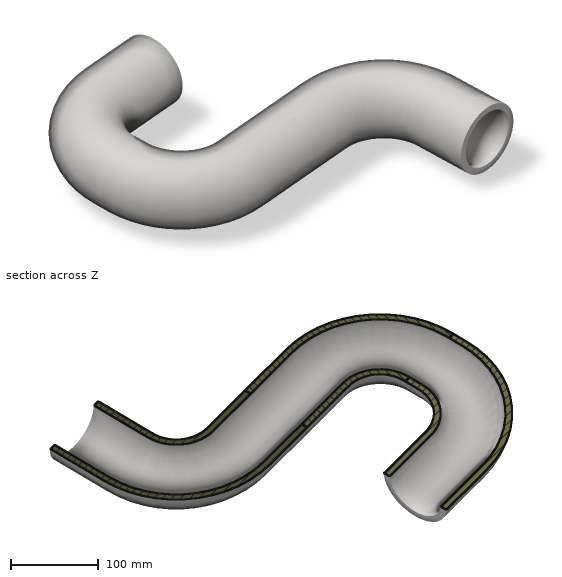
import cadquery as cq
import math

outer_diameter = 90.0
bore_diameter = 73.5
bend_radius = outer_diameter

full_arm = 77.5
trimmed_outlet_arm = 69.2
trap_bottom = 20.5
stub_arm = 1.3

free_end_lift = 2.5
arm_spacing = 2 * bend_radius + trap_bottom
trap_tilt = math.degrees(math.asin(free_end_lift / arm_spacing))


def make_elbow(first_arm, second_arm):
    """Hollow elbow from the origin along +Y, turning a quarter bend to +X."""
    exit_y = first_arm + bend_radius
    path = (
        cq.Workplane("XY")
        .lineTo(0, first_arm)
        .tangentArcPoint((bend_radius, exit_y), relative=False)
        .lineTo(bend_radius + second_arm, exit_y)
        .wire()
    )
    section = cq.Workplane("XZ").circle(outer_diameter / 2).circle(bore_diameter / 2)
    return section.sweep(path)


def tilt_trap(elbow):
    """Turn an elbow of the U about the inner arm, which lies on the Y axis."""
    return elbow.rotate((0, 0, 0), (0, 1, 0), trap_tilt)


outlet_elbow = make_elbow(trimmed_outlet_arm, full_arm)

middle_elbow = tilt_trap(make_elbow(full_arm, stub_arm).rotate((0, 0, 0), (0, 0, 1), 180))

inlet_elbow = tilt_trap(
    make_elbow(full_arm, trap_bottom - stub_arm)
    .mirror("XZ")
    .translate((-arm_spacing, 0, 0))
)

result = cq.Compound.makeCompound([inlet_elbow.val(), middle_elbow.val(), outlet_elbow.val()])